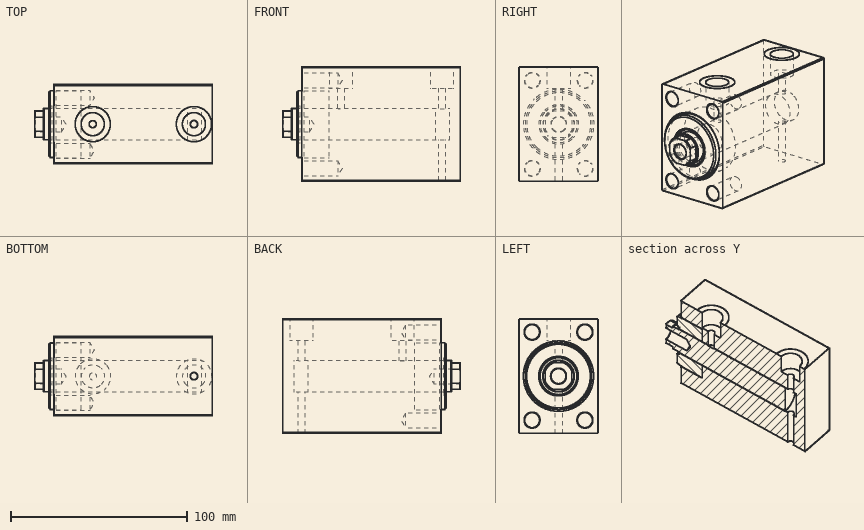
import cadquery as cq
import math


overall_length = 101.0

block_length = 90.0
block_width = 45.0
block_height = 65.0
edge_chamfer = 0.6

rod_reach = overall_length - block_length
rod_diameter = 18.0
rod_shoulder_diameter = 17.4
rod_shoulder_taper = 0.6
rod_end = 75.8
tip_length = 4.9
tip_diameter = 17.0
tip_chamfer = 0.4
tip_across_flats = 15.0
tip_thread_depth = 15.2

head_diameter = 38.0
head_reach = 2.9
head_depth = 15.2
head_chamfer = 0.9
wiper_recess_diameter = 22.5
wiper_recess_depth = 0.5
seal_recess_diameter = 20.9
seal_recess_depth = 1.7
seat_chamfer = 1.0

thread_diameter = 8.5
thread_chamfer = 0.3
thread_tip_angle = 118
mount_spacing_y = 30.0
mount_spacing_z = 50.0
mount_depth = 20.2

front_port_x = 22.0
rear_port_x = 79.5
port_diameter = 13.1
port_depth = 12.1
spotface_diameter = 20.0
spotface_depth = 0.1
passage_diameter = 4.0
rod_bore_depth = rear_port_x + passage_diameter


def cylinder_x(diameter, start, end):
    """Solid cylinder on the X axis between two X positions."""
    return cq.Workplane("YZ", origin=(start, 0, 0)).circle(diameter / 2).extrude(end - start)


def cylinder_down(diameter, x, top, depth):
    """Vertical cylinder at X, reaching down from the height top."""
    return cq.Workplane("XY", origin=(x, 0, top)).circle(diameter / 2).extrude(-depth)


def revolve_x(profile):
    """Solid turned about the X axis from (x, radius) points."""
    return cq.Workplane("XY").polyline(profile).close().revolve(360, (0, 0, 0), (1, 0, 0))


def threaded_hole(mouth_x, depth):
    """Cutter for a blind drilled hole along +X with a chamfered mouth and a drill-point end."""
    radius = thread_diameter / 2
    point_length = radius / math.tan(math.radians(thread_tip_angle / 2))
    return revolve_x([
        (mouth_x, 0),
        (mouth_x, radius + thread_chamfer),
        (mouth_x + thread_chamfer, radius),
        (mouth_x + depth, radius),
        (mouth_x + depth + point_length, 0),
    ])


def port(x, passage_depth):
    """Cutter for a spotfaced port with a narrow passage down from the top face."""
    top = block_height / 2
    return (
        cylinder_down(spotface_diameter, x, top, spotface_depth)
        .union(cylinder_down(port_diameter, x, top, port_depth))
        .union(cylinder_down(passage_diameter, x, top, passage_depth))
    )


def head_seat():
    """Cutter for the pocket that holds the head, with a chamfered mouth."""
    radius = head_diameter / 2
    return revolve_x([
        (0, 0),
        (0, radius + seat_chamfer),
        (seat_chamfer, radius),
        (head_depth, radius),
        (head_depth, 0),
    ])


def make_housing():
    body = (
        cq.Workplane("XY")
        .box(block_length, block_width, block_height, centered=(False, True, True))
        .edges("|X").chamfer(edge_chamfer)
    )
    body = body.cut(head_seat())
    body = body.cut(cylinder_x(rod_diameter, 0, rod_bore_depth))
    for y_side in (-1, 1):
        for z_side in (-1, 1):
            place = (0, y_side * mount_spacing_y / 2, z_side * mount_spacing_z / 2)
            body = body.cut(threaded_hole(0, mount_depth).translate(place))
    body = body.cut(port(front_port_x, block_height / 2))
    body = body.cut(port(rear_port_x, block_height))
    return body


def make_head():
    body = cylinder_x(head_diameter, -head_reach, head_depth).faces("<X").edges().chamfer(head_chamfer)
    for diameter, depth in (
        (wiper_recess_diameter, wiper_recess_depth),
        (seal_recess_diameter, seal_recess_depth),
    ):
        body = body.cut(cylinder_x(diameter, -head_reach, depth - head_reach))
    return body.cut(cylinder_x(rod_diameter, -head_reach, head_depth))


def make_rod():
    shoulder_x = tip_length - rod_reach
    shank = revolve_x([
        (shoulder_x, 0),
        (shoulder_x, rod_shoulder_diameter / 2),
        (shoulder_x + rod_shoulder_taper, rod_diameter / 2),
        (rod_end, rod_diameter / 2),
        (rod_end, 0),
    ])
    tip = cylinder_x(tip_diameter, -rod_reach, shoulder_x).faces("<X").edges().chamfer(tip_chamfer)
    flats = cq.Workplane("YZ", origin=(-rod_reach, 0, 0)).rect(tip_across_flats, tip_across_flats)
    tip = tip.intersect(flats.extrude(tip_length))
    return shank.union(tip).cut(threaded_hole(-rod_reach, tip_thread_depth))


housing = make_housing()
head = make_head()
rod = make_rod()

result = cq.Compound.makeCompound([housing.val(), head.val(), rod.val()])